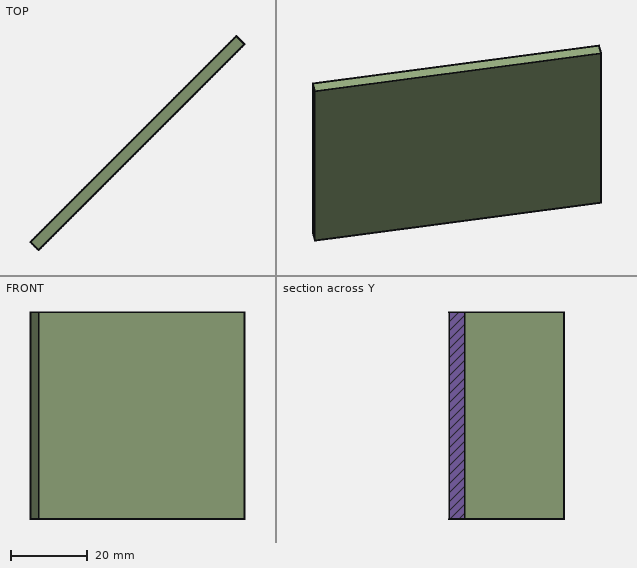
import cadquery as cq
import math

footprint = 55.85
height = 54.0
thickness = 3.0
turn_angle = 45.0

length = footprint * math.sqrt(2) - thickness

result = (
    cq.Workplane("XY")
    .box(length, thickness, height)
    .rotate((0, 0, 0), (0, 0, 1), turn_angle)
)